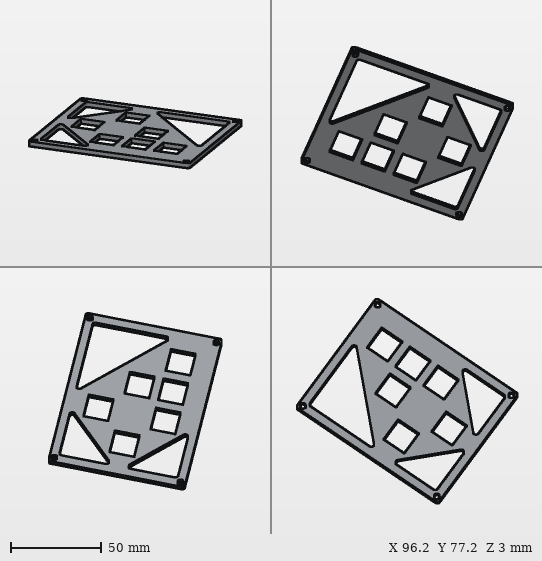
import cadquery as cq

plate_length = 96.2
plate_width = 77.2
plate_thickness = 3.0
plate_corner_radius = 1.5

screw_hole_diameter = 3.2
screw_hole_inset = 2.8

key_pitch = 19.05
key_opening = 14.0
key_grid_offset_x = 0.3
key_grid_offset_y = -0.2

window_inset = 5.0
small_window_leg = 30.1
large_window_leg = 45.1
window_corner_radius = 1.5

half_length = plate_length / 2
half_width = plate_width / 2


def make_plate():
    plate = cq.Workplane("XY").box(plate_length, plate_width, plate_thickness)
    return plate.edges("|Z").fillet(plate_corner_radius)


def make_screw_holes():
    hole_spacing_x = plate_length - 2 * screw_hole_inset
    hole_spacing_y = plate_width - 2 * screw_hole_inset
    return (
        cq.Workplane("XY")
        .rect(hole_spacing_x, hole_spacing_y, forConstruction=True)
        .vertices()
        .circle(screw_hole_diameter / 2)
        .extrude(plate_thickness, both=True)
    )


def make_key_openings():
    direction_keys = [(-1.5, 0), (-0.5, 1), (0.5, 0), (-0.5, -1)]
    bottom_right_keys = [(0.5, -1), (1.5, -1)]
    centres = [
        (column * key_pitch + key_grid_offset_x, row * key_pitch + key_grid_offset_y)
        for column, row in direction_keys + bottom_right_keys
    ]
    return (
        cq.Workplane("XY")
        .pushPoints(centres)
        .rect(key_opening, key_opening)
        .extrude(plate_thickness, both=True)
    )


def make_window(side_x, side_y, leg):
    """Right-angled window; side_x and side_y (+1 or -1) select the plate corner."""
    corner_x = side_x * (half_length - window_inset)
    corner_y = side_y * (half_width - window_inset)
    return (
        cq.Workplane("XY")
        .moveTo(corner_x, corner_y)
        .lineTo(corner_x - side_x * leg, corner_y)
        .lineTo(corner_x, corner_y - side_y * leg)
        .close()
        .extrude(plate_thickness, both=True)
        .edges("|Z")
        .fillet(window_corner_radius)
    )


result = make_plate().cut(make_screw_holes()).cut(make_key_openings())
for side_x, side_y, leg in [
    (-1, 1, small_window_leg),
    (-1, -1, small_window_leg),
    (1, 1, large_window_leg),
]:
    result = result.cut(make_window(side_x, side_y, leg))